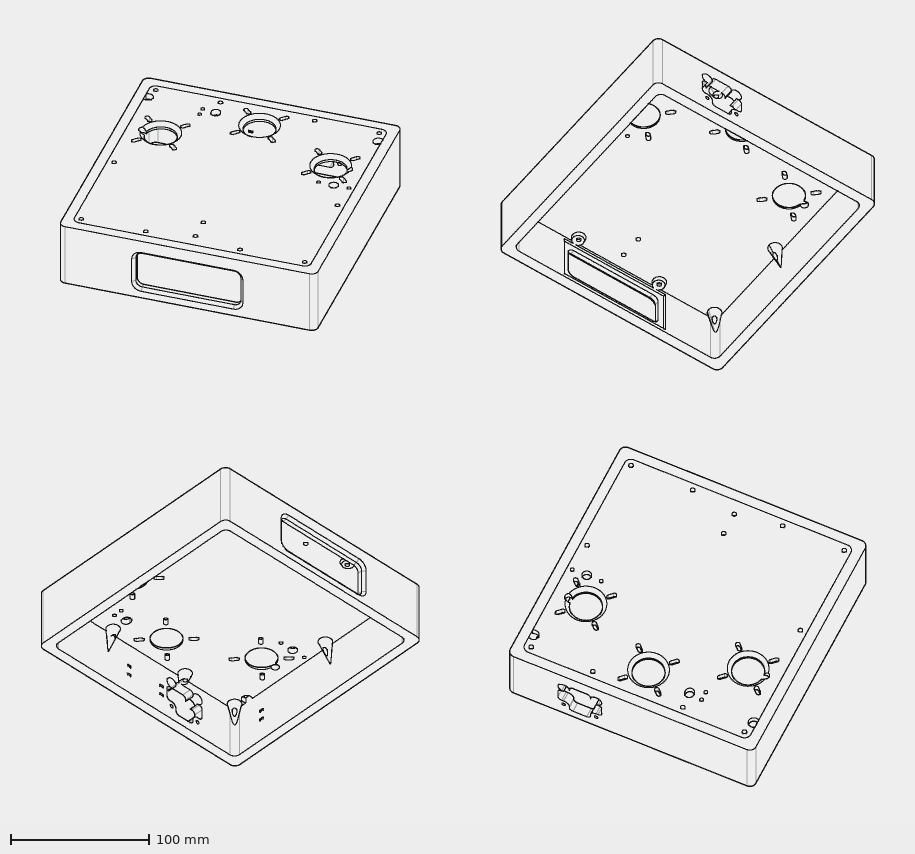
import cadquery as cq
import math

SIDE = 196.0
HEIGHT = 50.0
CORNER_RADIUS = 4.9
WALL = 7.8
POCKET_RADIUS = 4.9
PLATE_THICKNESS = 4.9

INNER_HALF = SIDE / 2 - WALL
PLATE_BOTTOM = HEIGHT - PLATE_THICKNESS

SCREW_DIAMETER = 3.3
SCREW_INSET = 5.0
SCREW_LINE = INNER_HALF - SCREW_INSET
MIDDLE_SCREW_X = 35.9
SIDE_SCREW_Y = -10.2
BLIND_BORE_DEPTH = 7.5

BOSS_OVERLAP = 0.2
BOSS_RADIUS = SCREW_INSET + BOSS_OVERLAP
BOSS_TIP_Z = 26.9

OPENING_DEPTH = WALL + SCREW_INSET + BOSS_RADIUS

WINDOW_WIDTH = 80.0
WINDOW_HEIGHT = 29.5
WINDOW_RADIUS = 4.9
WINDOW_CHAMFER = 2.4
WINDOW_WALL = 5.9
WINDOW_POCKET_MARGIN = 4.9
OPENING_Z = 23.0

CONNECTOR_X = 40.2
CONNECTOR_SCREW_DX = 13.0
CONNECTOR_SCREW_DZ = 11.0
CONNECTOR_SCREW_DIAMETER = 2.7
TAB_RADIUS = 4.5
TAB_FILLET = 3.0

TIE_WIDTH = 3.3
TIE_OUTER_RADIUS = 4.9
TIE_INNER_RADIUS = 3.3
BACK_TIE_XS = (-14.7, 17.5)
BACK_TIE_Z = 21.4
SIDE_TIE_Y = 62.3
SIDE_TIE_Z = 24.0

BUTTON_DIAMETER = 24.0
BUTTON_CHAMFER = 3.1
BACK_BUTTON_Y = 66.8
SIDE_BUTTON_X = 64.7
SIDE_BUTTON_Y = 35.3
BUTTON_CENTERS = [(0, BACK_BUTTON_Y), (-SIDE_BUTTON_X, SIDE_BUTTON_Y), (SIDE_BUTTON_X, SIDE_BUTTON_Y)]
SLOT_DISTANCE = 19.8
SLOT_LENGTH = 7.5
SLOT_WIDTH = 3.3
SLOT_ANGLES = (45, 135, 225, 315)
NOTCH_DIAMETER = 5.9
NOTCH_X = 78.4

EDGE_HOLE_DIAMETER = 8.0
EDGE_HOLE_X = 87.8
EDGE_HOLE_Y = 75.0
PILOT_DIAMETER = 2.7
JACK_DIAMETER = 7.0
JACK_CENTER = (74.5, 13.0)
JACK_PILOT_OFFSET = 11.5
OVAL_CENTER = (-35.0, 72.0)
OVAL_LENGTH = 8.0
OVAL_WIDTH = 6.9
OVAL_PILOT_X = -45.5
OVAL_PILOT_YS = (66.5, 73.5)
FRONT_HOLE_YS = (-61.2, -79.2)


CORNER_SCREWS = [(x, y) for x in (-SCREW_LINE, SCREW_LINE) for y in (-SCREW_LINE, SCREW_LINE)]
SIDE_SCREWS = [(x, SIDE_SCREW_Y) for x in (-SCREW_LINE, SCREW_LINE)]
MIDDLE_SCREWS = [(x, y) for x in (-MIDDLE_SCREW_X, MIDDLE_SCREW_X) for y in (-SCREW_LINE, SCREW_LINE)]
THROUGH_SCREWS = CORNER_SCREWS + SIDE_SCREWS
ALL_SCREWS = THROUGH_SCREWS + MIDDLE_SCREWS


def rounded_block(width, depth, height, radius, bottom):
    block = cq.Workplane("XY").workplane(offset=bottom).rect(width, depth).extrude(height)
    return block.edges("|Z").fillet(radius)


def drill_down(points, diameter, top, depth):
    """Vertical cylinders that start at height `top` and go down by `depth`."""
    return cq.Workplane("XY").workplane(offset=top).pushPoints(points).circle(diameter / 2).extrude(-depth)


def boss(position):
    """Screw boss: a slanted cone from the underside of the plate to a tip on the wall."""
    x, y = position
    tip_x, tip_y = [
        math.copysign(INNER_HALF, value) if abs(value) == SCREW_LINE else value for value in position
    ]
    return (
        cq.Workplane("XY", origin=(0, 0, PLATE_BOTTOM))
        .center(x, y)
        .circle(BOSS_RADIUS)
        .workplane(offset=BOSS_TIP_Z - PLATE_BOTTOM)
        .center(tip_x - x, tip_y - y)
        .circle(BOSS_OVERLAP)
        .loft(ruled=True)
    )


def window_cutter():
    """Rounded window with an outside chamfer and the pocket behind it."""
    front = cq.Workplane("XZ", origin=(0, -SIDE / 2, OPENING_Z))
    opening = front.rect(WINDOW_WIDTH, WINDOW_HEIGHT).extrude(-WALL)
    opening = opening.edges("|Y").fillet(WINDOW_RADIUS)

    flare = front.rect(WINDOW_WIDTH + 2 * WINDOW_CHAMFER, WINDOW_HEIGHT + 2 * WINDOW_CHAMFER)
    flare = flare.extrude(-2 * WINDOW_CHAMFER).edges("|Y").fillet(WINDOW_RADIUS + WINDOW_CHAMFER)
    flare = flare.faces(">Y").chamfer(WINDOW_CHAMFER)
    flare = flare.translate((0, -WINDOW_CHAMFER, 0))

    behind = front.workplane(offset=-WINDOW_WALL)
    pocket = behind.rect(WINDOW_WIDTH + 2 * WINDOW_POCKET_MARGIN, WINDOW_HEIGHT + 2 * WINDOW_POCKET_MARGIN)
    pocket = pocket.extrude(WINDOW_WALL - OPENING_DEPTH)
    return opening.union(flare).union(pocket)


def connector_cutter():
    """Opening for the connector, with its screw holes."""
    back = cq.Workplane("XZ", origin=(CONNECTOR_X, SIDE / 2, OPENING_Z))

    def arm(width, height):
        return back.rect(width, height).extrude(OPENING_DEPTH).edges("|Y").fillet(TAB_FILLET)

    dx = CONNECTOR_SCREW_DX
    dz = CONNECTOR_SCREW_DZ
    wide_arm = arm(2 * (dx + TAB_RADIUS), 2 * (dz - TAB_RADIUS))
    tall_arm = arm(2 * (dx - TAB_RADIUS), 2 * (dz + TAB_RADIUS))
    tab_corners = cq.selectors.BoxSelector(
        (CONNECTOR_X - dx, 0, OPENING_Z - dz), (CONNECTOR_X + dx, SIDE, OPENING_Z + dz)
    )
    cross = wide_arm.union(tall_arm).edges("|Y").edges(tab_corners).fillet(TAB_RADIUS)

    lower_holes = back.pushPoints([(-dx, -dz), (dx, -dz)])
    lower_holes = lower_holes.circle(CONNECTOR_SCREW_DIAMETER / 2).extrude(OPENING_DEPTH)
    upper_clearances = back.pushPoints([(-dx, dz), (dx, dz)]).circle(TAB_RADIUS).extrude(OPENING_DEPTH)
    return cross.union(lower_holes).union(upper_clearances)


def tie_channel(plane, center):
    """Ring-shaped channel, half of it sunk into the wall, for a cable tie."""
    ring = cq.Workplane(plane, origin=center).circle(TIE_OUTER_RADIUS).circle(TIE_INNER_RADIUS)
    return ring.extrude(TIE_WIDTH / 2, both=True)


def make_frame():
    """Open box with screw bosses, wall openings and cable tie channels."""
    frame = rounded_block(SIDE, SIDE, HEIGHT, CORNER_RADIUS, 0)
    frame = frame.cut(rounded_block(2 * INNER_HALF, 2 * INNER_HALF, HEIGHT, POCKET_RADIUS, 0))
    for position in ALL_SCREWS:
        frame = frame.union(boss(position))
    frame = frame.cut(drill_down(THROUGH_SCREWS, SCREW_DIAMETER, PLATE_BOTTOM, PLATE_BOTTOM))
    frame = frame.cut(drill_down(MIDDLE_SCREWS, SCREW_DIAMETER, PLATE_BOTTOM, BLIND_BORE_DEPTH))
    frame = frame.cut(window_cutter()).cut(connector_cutter())
    for x in BACK_TIE_XS:
        frame = frame.cut(tie_channel("YZ", (x, INNER_HALF, BACK_TIE_Z)))
    return frame.cut(tie_channel("XZ", (INNER_HALF, SIDE_TIE_Y, SIDE_TIE_Z)))


def button_cutter(center):
    """Chamfered round opening with four diagonal slots around it."""
    middle = cq.Workplane("XY", origin=(center[0], center[1], HEIGHT))
    opening = middle.circle(BUTTON_DIAMETER / 2).extrude(-PLATE_THICKNESS)
    flare_radius = BUTTON_DIAMETER / 2 + BUTTON_CHAMFER
    flare = middle.circle(flare_radius).extrude(-BUTTON_CHAMFER, taper=45)
    cutter = opening.union(flare)
    for angle in SLOT_ANGLES:
        slot = middle.transformed(rotate=(0, 0, angle)).center(SLOT_DISTANCE, 0)
        cutter = cutter.union(slot.slot2D(SLOT_LENGTH, SLOT_WIDTH).extrude(-PLATE_THICKNESS))
    return cutter


def make_plate():
    """Flat cover that fills the top of the frame, with all its holes."""
    plate = rounded_block(2 * INNER_HALF, 2 * INNER_HALF, PLATE_THICKNESS, POCKET_RADIUS, PLATE_BOTTOM)

    def drill(points, diameter):
        return plate.cut(drill_down(points, diameter, HEIGHT, PLATE_THICKNESS))

    for center in BUTTON_CENTERS:
        plate = plate.cut(button_cutter(center))
    plate = drill([(-NOTCH_X, SIDE_BUTTON_Y), (NOTCH_X, SIDE_BUTTON_Y)], NOTCH_DIAMETER)
    plate = drill([(-EDGE_HOLE_X, EDGE_HOLE_Y), (EDGE_HOLE_X, EDGE_HOLE_Y)], EDGE_HOLE_DIAMETER)
    plate = drill(ALL_SCREWS + [(0, y) for y in FRONT_HOLE_YS], SCREW_DIAMETER)

    jack_x, jack_y = JACK_CENTER
    plate = drill([JACK_CENTER], JACK_DIAMETER)
    plate = drill([(jack_x + side * JACK_PILOT_OFFSET, jack_y) for side in (-1, 1)], PILOT_DIAMETER)

    plate = drill([(OVAL_PILOT_X, y) for y in OVAL_PILOT_YS], PILOT_DIAMETER)
    oval = cq.Workplane("XY", origin=(*OVAL_CENTER, HEIGHT)).slot2D(OVAL_LENGTH, OVAL_WIDTH, 90)
    return plate.cut(oval.extrude(-PLATE_THICKNESS))


frame = make_frame()
plate = make_plate()
result = cq.Compound.makeCompound([frame.solids().val(), plate.solids().val()])